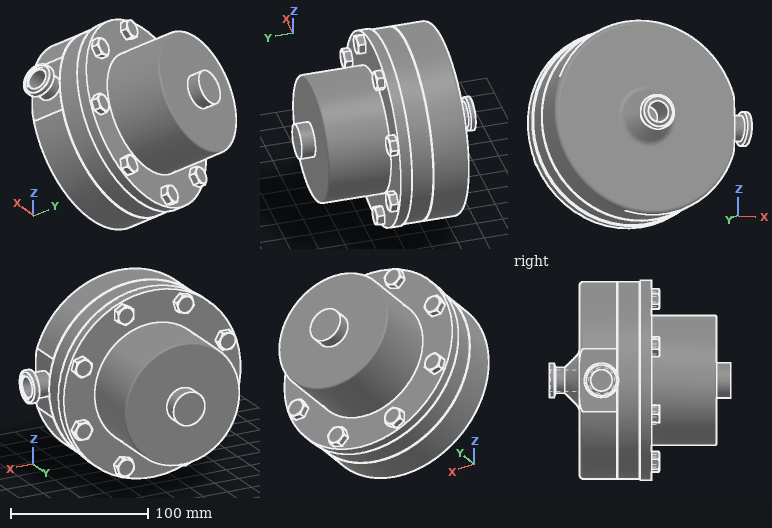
import cadquery as cq
import math


CASING_RADIUS = 72.0
CASING_LENGTH = 52.7
CUP_LENGTH = 27.4
CUP_FILLET = 3.3
CUP_FLAT_X = 68.2
JOINT_WIDTH = 0.5
JOINT_DEPTH = 0.3
FLANGE_RADIUS = 73.0
FLANGE_THICKNESS = 8.5
GASKET_RADIUS = 69.8
GASKET_THICKNESS = 0.5

MOTOR_RADIUS = 47.5
MOTOR_LENGTH = 47.3
MOTOR_FILLET = 1.5
SHAFT_RADIUS = 13.0
SHAFT_LENGTH = 10.3

PIPE_RADIUS = 9.5
BORE_RADIUS = 7.8
FERRULE_RADIUS = 12.5
FERRULE_RIM = 3.6
FERRULE_TAPER = 1.1
SEAL_INNER_RADIUS = 9.2
SEAL_OUTER_RADIUS = 11.1
SEAL_DEPTH = 0.8
SEAL_EDGE_FILLET = 0.3

NOZZLE_LENGTH = 21.9
CONE_LENGTH = 10.5
CONE_BLEND_RADIUS = 6.5

PORT_END_X = 83.6
PORT_Y = 16.1

BOLT_COUNT = 8
BOLT_CIRCLE_RADIUS = 64.2
BOLT_ACROSS_CORNERS = 15.0
BOLT_HEAD_HEIGHT = 5.8
BOLT_CHAMFER = 1.3
BOLT_CHAMFER_HEIGHT = 0.8
FIRST_BOLT_ANGLE = 22.5
HEX_TURN = -22.5

OVERLAP = 1.5

FLANGE_BACK_Y = CASING_LENGTH
FLANGE_FRONT_Y = FLANGE_BACK_Y - FLANGE_THICKNESS


def cylinder(radius, start_y, length):
    """Cylinder on the Y axis that runs from start_y towards +Y."""
    return cq.Workplane("XZ", origin=(0, start_y, 0)).circle(radius).extrude(-length)


def pipe_end(length):
    """Ferruled pipe on the Y axis from Y = 0 to Y = -length, without its bore."""
    taper_end = -length + FERRULE_RIM
    taper_start = taper_end + FERRULE_TAPER
    seal_middle = (SEAL_INNER_RADIUS + SEAL_OUTER_RADIUS) / 2
    pipe = (
        cq.Workplane("XY")
        .lineTo(PIPE_RADIUS, 0)
        .lineTo(PIPE_RADIUS, taper_start)
        .lineTo(FERRULE_RADIUS, taper_end)
        .lineTo(FERRULE_RADIUS, -length)
        .lineTo(SEAL_OUTER_RADIUS, -length)
        .threePointArc((seal_middle, -length + SEAL_DEPTH), (SEAL_INNER_RADIUS, -length))
        .lineTo(0, -length)
        .close()
        .revolve(360, (0, 0), (0, 1))
    )
    for groove_edge in (0, 1):
        selector = cq.selectors.RadiusNthSelector(groove_edge)
        pipe = pipe.faces("<Y").edges(selector).fillet(SEAL_EDGE_FILLET)
    return pipe


def bore(length):
    """Blind bore of a pipe end, from its mouth to Y = 0."""
    return cylinder(BORE_RADIUS, -length, length)


def side_port(shape):
    """Turn a pipe shape on -Y to point along +X and set it against the cup flat."""
    return shape.rotate((0, 0, 0), (0, 0, 1), 90).translate((CUP_FLAT_X, PORT_Y, 0))


def casing():
    cup = cylinder(CASING_RADIUS, 0, CUP_LENGTH).faces("<Y").edges().fillet(CUP_FILLET)
    flat_cut = cq.Workplane("XY").box(
        CASING_RADIUS, CUP_LENGTH, 2 * CASING_RADIUS, centered=(False, False, True)
    )
    cup = cup.cut(flat_cut.translate((CUP_FLAT_X, 0, 0)))

    joint = cylinder(CASING_RADIUS - JOINT_DEPTH, CUP_LENGTH, JOINT_WIDTH)
    ring_start = CUP_LENGTH + JOINT_WIDTH
    ring_end = FLANGE_FRONT_Y - GASKET_THICKNESS
    ring = cylinder(CASING_RADIUS, ring_start, ring_end - ring_start)
    gasket = cylinder(GASKET_RADIUS, ring_end, GASKET_THICKNESS)
    flange = cylinder(FLANGE_RADIUS, FLANGE_FRONT_Y, FLANGE_THICKNESS)
    return cup.union(joint).union(ring).union(gasket).union(flange)


def motor():
    body = cylinder(MOTOR_RADIUS, FLANGE_BACK_Y, MOTOR_LENGTH)
    body = body.faces(">Y").edges().fillet(MOTOR_FILLET)
    return body.union(cylinder(SHAFT_RADIUS, FLANGE_BACK_Y + MOTOR_LENGTH, SHAFT_LENGTH))


def suction_cone():
    """45 degree cone, with a concave blend tangent to the cone and the casing face."""
    corner_radius = PIPE_RADIUS + CONE_LENGTH
    half_turn = math.radians(45 / 2)
    face_radius = corner_radius + CONE_BLEND_RADIUS * math.tan(half_turn)
    blend_middle = (
        face_radius - CONE_BLEND_RADIUS * math.sin(half_turn),
        -CONE_BLEND_RADIUS * (1 - math.cos(half_turn)),
    )
    blend_end = (
        face_radius - CONE_BLEND_RADIUS * math.sin(2 * half_turn),
        -CONE_BLEND_RADIUS * (1 - math.cos(2 * half_turn)),
    )
    return (
        cq.Workplane("XY")
        .lineTo(face_radius, 0)
        .threePointArc(blend_middle, blend_end)
        .lineTo(PIPE_RADIUS, -CONE_LENGTH)
        .lineTo(0, -CONE_LENGTH)
        .close()
        .revolve(360, (0, 0), (0, 1))
    )


def bolt_head():
    """Hexagon head with its outer corners chamfered, at the first bolt place."""
    length = OVERLAP + BOLT_HEAD_HEIGHT
    start_y = FLANGE_BACK_Y - OVERLAP
    hexagon = (
        cq.Workplane("XZ", origin=(0, start_y, 0))
        .polygon(6, BOLT_ACROSS_CORNERS)
        .extrude(-length)
    )
    envelope = (
        cylinder(BOLT_ACROSS_CORNERS / 2, start_y, length)
        .faces(">Y")
        .chamfer(BOLT_CHAMFER_HEIGHT, BOLT_CHAMFER)
    )
    return (
        hexagon.intersect(envelope)
        .rotate((0, 0, 0), (0, 1, 0), HEX_TURN)
        .translate((BOLT_CIRCLE_RADIUS, 0, 0))
        .rotate((0, 0, 0), (0, 1, 0), FIRST_BOLT_ANGLE)
    )


port_length = PORT_END_X - CUP_FLAT_X
port_root = cylinder(PIPE_RADIUS, 0, OVERLAP)

result = casing().union(motor())
result = result.union(suction_cone()).union(pipe_end(NOZZLE_LENGTH))
result = result.union(side_port(pipe_end(port_length).union(port_root)))

first_bolt = bolt_head()
for index in range(BOLT_COUNT):
    result = result.union(first_bolt.rotate((0, 0, 0), (0, 1, 0), index * 360 / BOLT_COUNT))

result = result.cut(bore(NOZZLE_LENGTH)).cut(side_port(bore(port_length)))